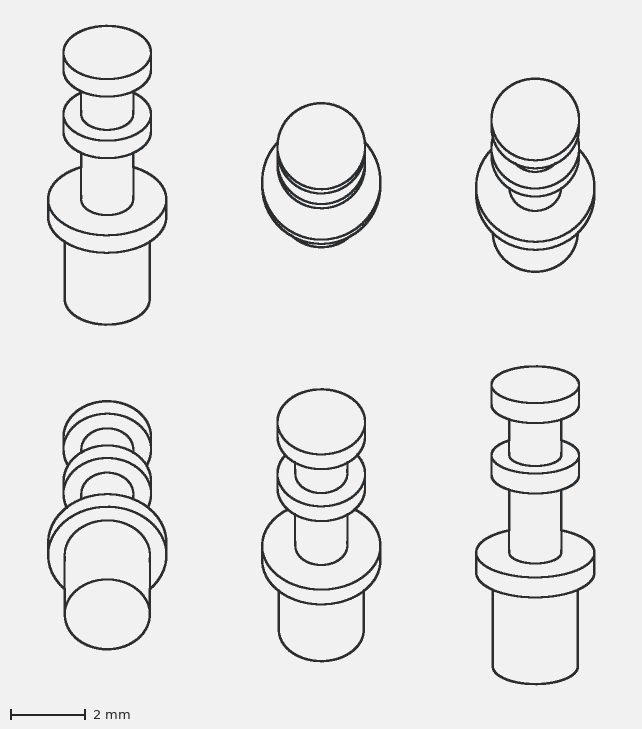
import cadquery as cq

total_height = 8.33
shank_diameter = 2.29
shank_height = 2.77
flange_diameter = 3.18
post_diameter = 1.4
collar_diameter = 2.36
disc_thickness = 0.59
middle_collar_base = 5.66

flange_top = shank_height + disc_thickness
top_collar_base = total_height - disc_thickness


def cylinder(diameter, base, height):
    """Solid cylinder on the pin axis, rising from the given base level."""
    return cq.Workplane("XY").workplane(offset=base).circle(diameter / 2).extrude(height)


shank = cylinder(shank_diameter, 0, shank_height)
flange = cylinder(flange_diameter, shank_height, disc_thickness)
post = cylinder(post_diameter, flange_top, total_height - flange_top)

result = shank.union(flange).union(post)

for collar_base in (middle_collar_base, top_collar_base):
    result = result.union(cylinder(collar_diameter, collar_base, disc_thickness))